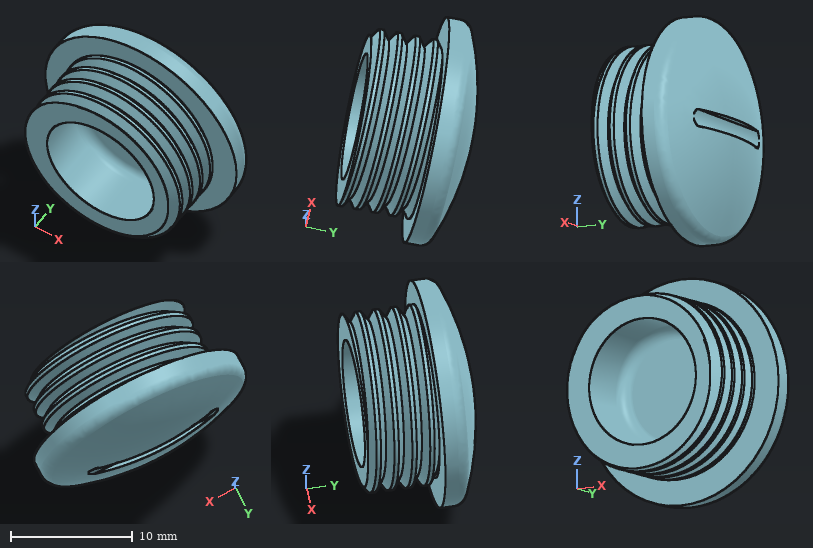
import cadquery as cq

head_radius = 9.5
head_height = 3.9
rim_height = 1.82
rim_fillet = 1.0

slot_width = 1.42
slot_depth = 0.82
slot_side_depth = 0.7

pitch = 1.5
shank_length = 4 * pitch
thread_radius = 7.5
thread_depth = 0.8
crest_width = pitch / 4
cutter_overlap = 0.1

bore_radius = 5.3
bore_depth = 5.0
bore_fillet = 1.0


def make_head():
    dome_sag = head_height - rim_height
    sphere_radius = (head_radius**2 + dome_sag**2) / (2 * dome_sag)
    half_radius = head_radius / 2
    half_height = head_height - sphere_radius + (sphere_radius**2 - half_radius**2) ** 0.5
    head = (
        cq.Workplane("XY")
        .lineTo(head_radius, 0)
        .lineTo(head_radius, rim_height)
        .threePointArc((half_radius, half_height), (0, head_height))
        .close()
        .revolve(360, (0, 0), (0, 1))
    )
    edge_tolerance = 0.02
    rim_edge = cq.selectors.BoxSelector(
        (-head_radius, rim_height - edge_tolerance, -head_radius),
        (head_radius, rim_height + edge_tolerance, head_radius),
    )
    head = head.edges(rim_edge).fillet(rim_fillet)
    half_slot = slot_width / 2
    slot = (
        cq.Workplane("YZ", origin=(-head_radius, 0, 0))
        .moveTo(head_height + slot_depth, -half_slot)
        .lineTo(head_height - slot_side_depth, -half_slot)
        .threePointArc((head_height - slot_depth, 0), (head_height - slot_side_depth, half_slot))
        .lineTo(head_height + slot_depth, half_slot)
        .close()
        .extrude(2 * head_radius)
    )
    return head.cut(slot)


def make_groove():
    """V groove along +Z, starting one pitch below z = 0, with its root on the +X side there."""
    root_radius = thread_radius - thread_depth
    outer_radius = thread_radius + cutter_overlap
    root_half_width = (pitch - crest_width) / 2
    outer_half_width = root_half_width * (thread_depth + cutter_overlap) / thread_depth
    groove_length = shank_length + 2 * pitch
    path = cq.Wire.makeHelix(pitch, groove_length, thread_radius, lefthand=True)
    return (
        cq.Workplane("XZ")
        .moveTo(root_radius, 0)
        .lineTo(outer_radius, outer_half_width)
        .lineTo(outer_radius, -outer_half_width)
        .close()
        .sweep(cq.Workplane(path), isFrenet=True)
        .translate((0, 0, -pitch))
    )


def make_shank():
    shank = cq.Workplane("XY").circle(thread_radius).extrude(shank_length)
    shank = shank.rotate((0, 0, 0), (0, 0, 1), 90)
    return shank.cut(make_groove()).rotate((0, 0, 0), (1, 0, 0), 90)


def make_bore():
    return (
        cq.Workplane("XZ", origin=(0, bore_depth - shank_length, 0))
        .circle(bore_radius)
        .extrude(bore_depth)
        .faces(">Y")
        .edges()
        .fillet(bore_fillet)
    )


result = make_head().union(make_shank()).cut(make_bore())